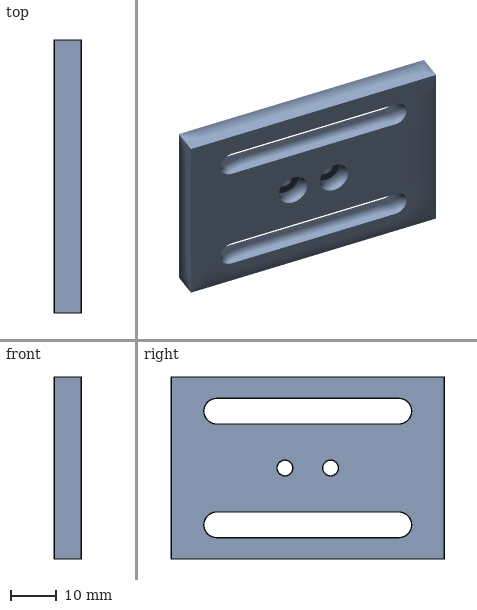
import cadquery as cq

thickness = 6.0
length = 60.0
height = 40.0

slot_width = 5.6
slot_end_spacing = 40.0
slot_offset = 12.5

hole_diameter = 3.4
counterbore_diameter = 6.9
counterbore_depth = 4.0
hole_spacing = 10.0

front_face = cq.Plane(origin=(-thickness / 2, 0, 0), xDir=(0, -1, 0), normal=(-1, 0, 0))


def make_plate():
    return cq.Workplane("XY").box(thickness, length, height)


def make_slots():
    return (
        cq.Workplane(front_face)
        .pushPoints([(0, -slot_offset), (0, slot_offset)])
        .slot2D(slot_end_spacing + slot_width, slot_width)
        .extrude(-thickness)
    )


def make_screw_holes():
    """Through holes with counterbores that open on the -X face."""
    centres = [(-hole_spacing / 2, 0), (hole_spacing / 2, 0)]
    sketch = cq.Workplane(front_face).pushPoints(centres)
    through_holes = sketch.circle(hole_diameter / 2).extrude(-thickness)
    counterbores = sketch.circle(counterbore_diameter / 2).extrude(-counterbore_depth)
    return through_holes.union(counterbores)


result = make_plate().cut(make_slots()).cut(make_screw_holes())